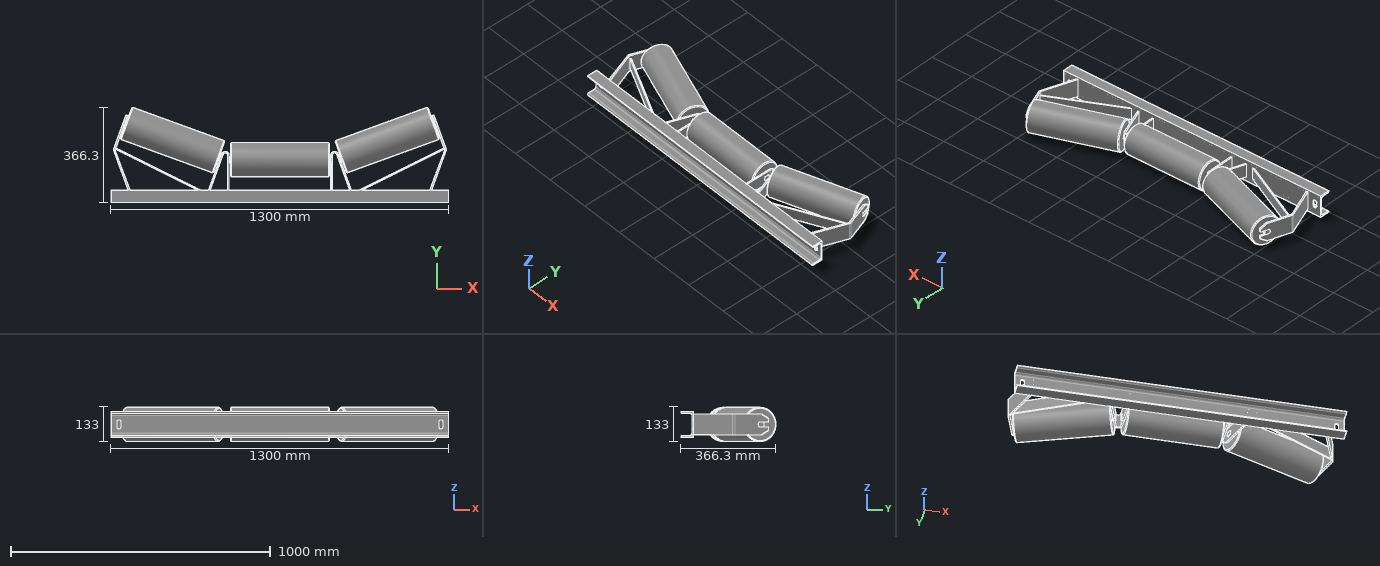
import cadquery as cq
import math

BEAM_LENGTH = 1300.0
BEAM_HEIGHT = 100.0
BEAM_DEPTH = 48.0
WEB_THICKNESS = 5.0
FLANGE_THICKNESS = 8.0
ROOT_RADIUS = 8.5
TOE_RADIUS = 6.0
MOUNT_SLOT_LENGTH = 35.0
MOUNT_SLOT_WIDTH = 15.0
MOUNT_SLOT_INSET = 30.0

ROLLER_DIAMETER = 133.0
ROLLER_LENGTH = 381.0
ROLLER_CHAMFER = 4.0
ROLLER_GAP = 4.0
INNER_GAP = 5.0
SHAFT_DIAMETER = 25.0
SHAFT_ACROSS_FLATS = 20.0
MIDDLE_AXIS_Y = 117.0
SIDE_CENTRE_X = 413.0
SIDE_CENTRE_Y = 192.0
TROUGH_ANGLE = 20.0

BRACKET_WIDTH = 80.0
BRACKET_THICKNESS = 8.0
INNER_WIDTH = 60.0
INNER_THICKNESS = 6.0
BEND_RADIUS = 12.0
BRACKET_TIP = 30.0
TIP_CHAMFER_ALONG = 27.0
TIP_CHAMFER_ACROSS = 17.0
ELBOW_DROP = 112.5
ELBOW_RADIUS = 4.0
LEG_ANGLE = 20.0
STRUT_WIDTH = 52.0
STRUT_RISE = 4.0
STRUT_THICKNESS = 5.0
STRUT_FOOT_X = 317.0

COS = math.cos(math.radians(TROUGH_ANGLE))
SIN = math.sin(math.radians(TROUGH_ANGLE))
LEG_TAN = math.tan(math.radians(LEG_ANGLE))
PLATE_NEAR = ROLLER_LENGTH / 2 + ROLLER_GAP
PLATE_FAR = PLATE_NEAR + BRACKET_THICKNESS
INNER_NEAR = ROLLER_LENGTH / 2 + INNER_GAP
INNER_FAR = INNER_NEAR + INNER_THICKNESS
SHAFT_RADIUS = SHAFT_DIAMETER / 2
FLAT_HALF = SHAFT_ACROSS_FLATS / 2


def side_point(along, across):
    """XY point of the +X roller frame: along its axis (outward) and across it."""
    return (
        SIDE_CENTRE_X + along * COS - across * SIN,
        SIDE_CENTRE_Y + along * SIN + across * COS,
    )


def side_point_at_foot(along):
    """Point of a plane normal to the +X roller axis where it meets the beam back."""
    return side_point(along, -(SIDE_CENTRE_Y + along * SIN) / COS)


def axis_plane(x, y, angle):
    """Plane through a roller centre whose normal is the roller axis; local x runs across it."""
    turn = math.radians(angle)
    return cq.Plane(
        origin=(x, y, 0),
        xDir=(-math.sin(turn), math.cos(turn), 0),
        normal=(math.cos(turn), math.sin(turn), 0),
    )


MIDDLE_PLANE = axis_plane(0, MIDDLE_AXIS_Y, 0)
SIDE_PLANE = axis_plane(SIDE_CENTRE_X, SIDE_CENTRE_Y, TROUGH_ANGLE)
LEFT_PLANE = axis_plane(-SIDE_CENTRE_X, SIDE_CENTRE_Y, -TROUGH_ANGLE)
ROLLER_PLANES = [LEFT_PLANE, MIDDLE_PLANE, SIDE_PLANE]


def plate_extrusion(outline, width):
    """Extrude a closed XY outline evenly about Z = 0."""
    return outline.close().extrude(width).translate((0, 0, -width / 2))


def make_beam():
    half = BEAM_HEIGHT / 2
    profile = (
        cq.Workplane("YZ")
        .workplane(offset=-BEAM_LENGTH / 2)
        .polyline([
            (0, -half),
            (-BEAM_DEPTH, -half),
            (-BEAM_DEPTH, -half + FLANGE_THICKNESS),
            (-WEB_THICKNESS, -half + FLANGE_THICKNESS),
            (-WEB_THICKNESS, half - FLANGE_THICKNESS),
            (-BEAM_DEPTH, half - FLANGE_THICKNESS),
            (-BEAM_DEPTH, half),
            (0, half),
        ])
        .close()
    )
    beam = profile.extrude(BEAM_LENGTH)
    inner_z = half - FLANGE_THICKNESS
    for z in (-inner_z, inner_z):
        beam = beam.edges(cq.selectors.NearestToPointSelector((0, -WEB_THICKNESS, z))).fillet(ROOT_RADIUS)
        beam = beam.edges(cq.selectors.NearestToPointSelector((0, -BEAM_DEPTH, z))).fillet(TOE_RADIUS)
    slot_x = BEAM_LENGTH / 2 - MOUNT_SLOT_INSET
    slots = (
        cq.Workplane("XZ")
        .pushPoints([(-slot_x, 0), (slot_x, 0)])
        .slot2D(MOUNT_SLOT_LENGTH, MOUNT_SLOT_WIDTH, 90)
        .extrude(WEB_THICKNESS)
    )
    return beam.cut(slots)


def make_shaft_slot():
    """Cutter for the slot in the +X outer bracket, open at the tip, that seats a flatted shaft end."""
    arc_across = math.sqrt(SHAFT_RADIUS**2 - FLAT_HALF**2)
    return (
        cq.Workplane(SIDE_PLANE)
        .workplane(offset=PLATE_NEAR)
        .moveTo(BRACKET_TIP, -FLAT_HALF)
        .lineTo(-arc_across, -FLAT_HALF)
        .threePointArc((-SHAFT_RADIUS, 0), (-arc_across, FLAT_HALF))
        .lineTo(BRACKET_TIP, FLAT_HALF)
        .close()
        .extrude(BRACKET_THICKNESS)
    )


def make_outer_bracket():
    """Elbow plate that carries the outer end of the +X roller."""
    elbow_out = side_point(PLATE_FAR, -ELBOW_DROP)
    elbow_in = side_point(PLATE_NEAR, -ELBOW_DROP)
    foot_out_x = elbow_out[0] - elbow_out[1] * LEG_TAN
    foot_in_x = foot_out_x - BRACKET_THICKNESS / math.cos(math.radians(LEG_ANGLE))
    outline = cq.Workplane("XY").polyline([
        side_point(PLATE_FAR, BRACKET_TIP),
        elbow_out,
        (foot_out_x, 0),
        (foot_in_x, 0),
        elbow_in,
        side_point(PLATE_NEAR, BRACKET_TIP),
    ])
    bracket = plate_extrusion(outline, BRACKET_WIDTH)
    bracket = bracket.edges(cq.selectors.NearestToPointSelector((*elbow_in, 0))).fillet(ELBOW_RADIUS)
    bracket = bracket.edges(cq.selectors.NearestToPointSelector((*elbow_out, 0))).fillet(
        ELBOW_RADIUS + BRACKET_THICKNESS
    )
    half = BRACKET_WIDTH / 2
    for side in (-1, 1):
        corner = (
            cq.Workplane(SIDE_PLANE)
            .workplane(offset=PLATE_NEAR)
            .polyline([
                (BRACKET_TIP, side * half),
                (BRACKET_TIP - TIP_CHAMFER_ALONG, side * half),
                (BRACKET_TIP, side * (half - TIP_CHAMFER_ACROSS)),
            ])
            .close()
            .extrude(BRACKET_THICKNESS)
        )
        bracket = bracket.cut(corner)
    return bracket.cut(make_shaft_slot())


def make_inner_bracket():
    """Folded plate between the middle and +X rollers, with a hole for a flatted shaft end in each arm."""
    mid = INNER_NEAR + INNER_THICKNESS / 2
    bend_x = mid + BEND_RADIUS
    axis_offset = SIDE_CENTRE_X * COS + SIDE_CENTRE_Y * SIN
    bend_y = (axis_offset - bend_x * (1 + COS)) / SIN
    outer = BEND_RADIUS + INNER_THICKNESS / 2
    inner = BEND_RADIUS - INNER_THICKNESS / 2
    apex = math.radians((180 + TROUGH_ANGLE) / 2)

    def bend_point(radius, angle):
        return (bend_x + radius * math.cos(angle), bend_y + radius * math.sin(angle))

    tilt = math.radians(TROUGH_ANGLE)
    outline = (
        cq.Workplane("XY")
        .moveTo(INNER_NEAR, 0)
        .lineTo(INNER_NEAR, bend_y)
        .threePointArc(bend_point(outer, apex), bend_point(outer, tilt))
        .lineTo(*side_point_at_foot(-INNER_NEAR))
        .lineTo(*side_point_at_foot(-INNER_FAR))
        .lineTo(*bend_point(inner, tilt))
        .threePointArc(bend_point(inner, apex), (INNER_FAR, bend_y))
        .lineTo(INNER_FAR, 0)
    )
    bracket = plate_extrusion(outline, INNER_WIDTH)
    return bracket.cut(make_shaft(MIDDLE_PLANE)).cut(make_shaft(SIDE_PLANE))


def make_strut():
    """Brace from the elbow of the outer bracket down to the beam."""
    top = side_point(PLATE_NEAR, STRUT_RISE - ELBOW_DROP)
    slope = math.atan2(top[1], top[0] - STRUT_FOOT_X)
    foot_width = STRUT_THICKNESS / math.sin(slope)
    outline = cq.Workplane("XY").polyline([
        (STRUT_FOOT_X, 0),
        top,
        (top[0] - STRUT_THICKNESS * math.sin(slope), top[1] + STRUT_THICKNESS * math.cos(slope)),
        (STRUT_FOOT_X - foot_width, 0),
    ])
    return plate_extrusion(outline, STRUT_WIDTH)


def make_frame():
    frame = make_beam()
    for part in (make_outer_bracket(), make_inner_bracket(), make_strut()):
        frame = frame.union(part).union(part.mirror("YZ"))
    return frame


def cylinder(plane, radius, length):
    """Cylinder on a roller axis, centred on the roller."""
    return cq.Workplane(plane).workplane(offset=-length / 2).circle(radius).extrude(length)


def make_roller(plane):
    roller = cylinder(plane, ROLLER_DIAMETER / 2, ROLLER_LENGTH)
    roller = roller.faces("%PLANE").edges().chamfer(ROLLER_CHAMFER)
    return roller.cut(cylinder(plane, SHAFT_RADIUS, ROLLER_LENGTH))


def make_shaft(plane):
    """Round shaft with two flats at each end, flush with the outer bracket faces."""
    shaft = cylinder(plane, SHAFT_RADIUS, 2 * PLATE_FAR)
    flat_end = cq.Workplane(plane).rect(SHAFT_DIAMETER, SHAFT_ACROSS_FLATS).extrude(PLATE_FAR, both=True)
    round_middle = cylinder(plane, SHAFT_RADIUS, 2 * PLATE_NEAR)
    return shaft.intersect(flat_end.union(round_middle))


frame = make_frame()
rollers = [make_roller(plane) for plane in ROLLER_PLANES]
shafts = [make_shaft(plane) for plane in ROLLER_PLANES]

result = cq.Compound.makeCompound(
    [frame.val()] + [roller.val() for roller in rollers] + [shaft.val() for shaft in shafts]
)